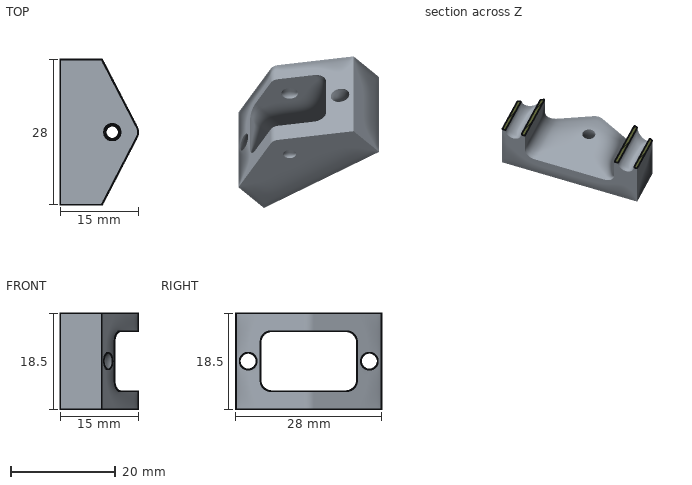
import cadquery as cq
import math

DEPTH = 15.0
WIDTH = 28.0
HEIGHT = 18.5

SHOULDER_X = 8.0
TIP_RADIUS = 2.0

WINDOW_WIDTH = 18.5
WINDOW_HEIGHT = 11.5
WINDOW_RADIUS = 2.0

MOUNT_DIAMETER = 3.2
MOUNT_SPACING = 23.3

SCREW_X = 10.0
SCREW_CLEARANCE_DIAMETER = 3.2
SCREW_PILOT_DIAMETER = 2.5


def make_body():
    """Block with a tapered nose, extruded along Z and centred on Y and Z."""
    half_width = WIDTH / 2
    tip_center_x = DEPTH - TIP_RADIUS
    run = tip_center_x - SHOULDER_X
    shoulder_to_center = math.hypot(run, half_width)
    flank_angle = math.atan2(half_width, run) - math.asin(TIP_RADIUS / shoulder_to_center)
    tangent_x = tip_center_x + TIP_RADIUS * math.sin(flank_angle)
    tangent_y = TIP_RADIUS * math.cos(flank_angle)
    return (
        cq.Workplane("XY")
        .workplane(offset=-HEIGHT / 2)
        .moveTo(0, -half_width)
        .lineTo(SHOULDER_X, -half_width)
        .lineTo(tangent_x, -tangent_y)
        .threePointArc((DEPTH, 0), (tangent_x, tangent_y))
        .lineTo(SHOULDER_X, half_width)
        .lineTo(0, half_width)
        .close()
        .extrude(HEIGHT)
    )


def make_window():
    """Rounded rectangular opening whose far end turns about the screw axis."""
    passage = (
        cq.Workplane("YZ")
        .rect(WINDOW_WIDTH, WINDOW_HEIGHT)
        .extrude(SCREW_X)
        .edges("|X")
        .fillet(WINDOW_RADIUS)
    )
    round_end = (
        cq.Workplane("XY")
        .workplane(offset=-WINDOW_HEIGHT / 2)
        .center(SCREW_X, 0)
        .circle(WINDOW_WIDTH / 2)
        .extrude(WINDOW_HEIGHT)
        .faces("|Z")
        .edges()
        .fillet(WINDOW_RADIUS)
    )
    return passage.union(round_end)


def make_mount_holes():
    """Pair of holes through the flat face and out of the sloping flanks."""
    offset = MOUNT_SPACING / 2
    return (
        cq.Workplane("YZ")
        .pushPoints([(-offset, 0), (offset, 0)])
        .circle(MOUNT_DIAMETER / 2)
        .extrude(DEPTH)
    )


def make_screw_hole():
    """Vertical hole, stepping down in diameter below the window."""
    axis = cq.Workplane("XY").center(SCREW_X, 0)
    clearance = axis.circle(SCREW_CLEARANCE_DIAMETER / 2).extrude(HEIGHT / 2)
    pilot = axis.circle(SCREW_PILOT_DIAMETER / 2).extrude(-HEIGHT / 2)
    return clearance.union(pilot)


result = (
    make_body()
    .cut(make_window())
    .cut(make_mount_holes())
    .cut(make_screw_hole())
)